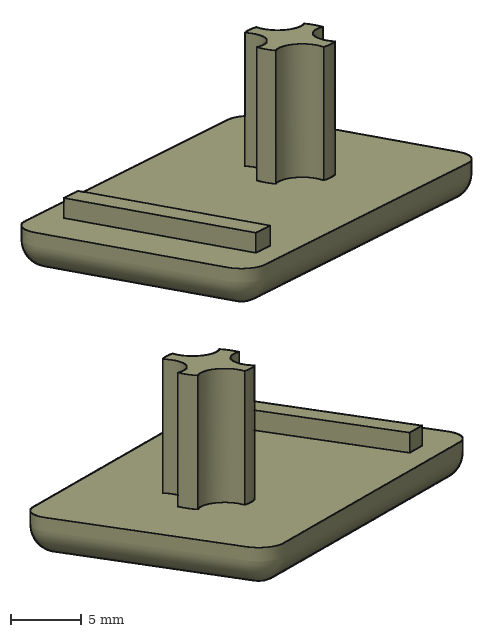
import cadquery as cq

plate_width = 20.0
plate_length = 32.0
plate_thickness = 3.0
edge_radius = 2.0

overall_height = 13.0
stem_y = 6.0
stem_diameter = 6.75
flute_radius = 1.92
flute_offset = 2.6

rib_length = 16.0
rib_width = 2.0
rib_height = 1.5
rib_y = -11.0


def make_plate():
    blank = cq.Workplane("XY").box(
        plate_width, plate_length, plate_thickness, centered=(True, True, False)
    )
    return blank.edges("|Z").fillet(edge_radius).faces("<Z").edges().fillet(edge_radius)


def make_stem():
    stem_height = overall_height - plate_thickness
    base = cq.Workplane("XY", origin=(0, stem_y, plate_thickness))
    flutes = (
        base.rect(2 * flute_offset, 2 * flute_offset, forConstruction=True)
        .vertices()
        .circle(flute_radius)
        .extrude(stem_height)
    )
    return base.circle(stem_diameter / 2).extrude(stem_height).cut(flutes)


def make_rib():
    base = cq.Workplane("XY", origin=(0, rib_y, plate_thickness))
    return base.rect(rib_length, rib_width).extrude(rib_height)


result = make_plate().union(make_stem()).union(make_rib())